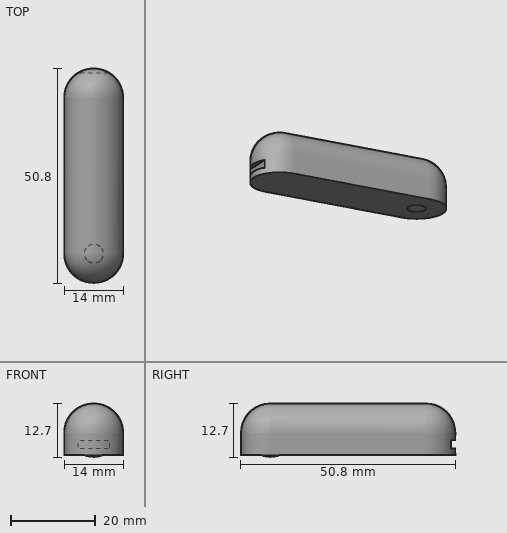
import cadquery as cq

length = 50.8
width = 14.0
base_height = 5.25
bump_height = 0.45
bump_radius = 2.25
notch_depth = 1.05
notch_bottom = 1.6
notch_height = 1.95

end_radius = width / 2
end_center = length / 2 - end_radius


def make_base():
    """Straight-sided lower body with round ends, its underside at Z = 0."""
    return cq.Workplane("XY").slot2D(length, width, 90).extrude(base_height)


def make_dome():
    """Capsule whose upper half forms the rounded top."""
    capsule = cq.Workplane("XZ").circle(end_radius).extrude(end_center, both=True)
    for y in (-end_center, end_center):
        capsule = capsule.union(cq.Workplane("XY").sphere(end_radius).translate((0, y, 0)))
    upper_half = cq.Workplane("XY").box(width, length, end_radius, centered=(True, True, False))
    return capsule.intersect(upper_half).translate((0, 0, base_height))


def make_bump():
    """Shallow spherical cap below the underside, on the axis of the -Y end."""
    profile = (
        cq.Workplane("XZ")
        .moveTo(0, 0)
        .lineTo(bump_radius, 0)
        .radiusArc((0, -bump_height), (bump_radius**2 + bump_height**2) / (2 * bump_height))
        .close()
    )
    return profile.revolve(360, (0, 0, 0), (0, 1, 0)).translate((0, -end_center, 0))


def make_notch():
    """Straight cut across the tip of the +Y end."""
    return (
        cq.Workplane("XY")
        .box(width, notch_depth, notch_height, centered=(True, False, False))
        .translate((0, length / 2 - notch_depth, notch_bottom))
    )


result = make_base().union(make_dome()).union(make_bump()).cut(make_notch())